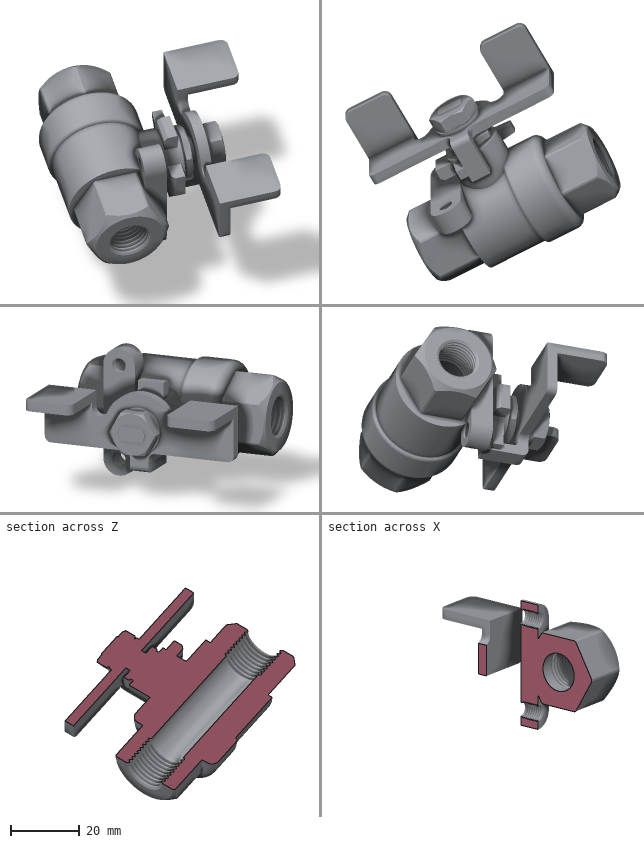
import cadquery as cq
import math


collar_diameter = 30.1
collar_left = -18.0
collar_right = -5.55
collar_left_round = 2.5
collar_right_round = 1.0
barrel_diameter = 28.05
barrel_right = 12.65

left_end = -31.75
right_end = 28.35
left_across_flats = 21.5
left_trim_diameter = 24.5
right_across_flats = 22.0
right_trim_diameter = 25.0
end_face_diameter = 20.65

bore_diameter = 11.5
bore_thread_diameter = 12.9
bore_thread_pitch = 1.35
bore_thread_turns = 8
thread_flat_share = 0.25

lug_x = 13.15
lug_spacing = 28.5
lug_width = 10.0
lug_back = 7.55
lug_front = 14.15
lug_hole_diameter = 4.2
lug_thread_diameter = 5.0
lug_thread_pitch = 0.8

hub_diameter = 17.0
hub_top = 22.6
neck_diameter = 12.9
neck_top = 23.5
packing_nut_across_flats = 14.1
packing_nut_top = 25.5
packing_nut_turn = -1.7
stem_diameter = 8.0
stem_top = 35.9
stem_tip_flats = 4.2
washer_diameter = 13.85
washer_top = 31.15
handle_nut_across_flats = 12.6
handle_nut_top = 35.6
handle_nut_turn = 1.4
nut_bevel_angle = 30

stop_bottom = 17.5
stop_top = 21.45
block_stop_width = 8.05
block_stop_reach = 12.55
block_stop_chamfer = 1.05
draft_stop_side = 2.95
draft_stop_root_width = 3.7
draft_stop_reach = 12.4
draft_stop_taper = 1.0

plate_bottom = 26.95
plate_thickness = 3.15
handle_half_length = 30.05
handle_round = 2.0
wing_width = 15.1
wing_top = 9.8
wing_bottom = -6.75
wing_tip = 46.0
wing_corner_round = 2.2
disc_radius = 11.05
notch_radius = 2.5
tab_width = 5.95
tab_end = 16.5
tab_upper = -10.0
tab_lower = -13.0

plate_top = plate_bottom + plate_thickness
wing_inner = handle_half_length - wing_width
bend_start = wing_bottom - handle_round
bend_inner_round = bend_start - tab_upper


def along_y(bottom):
    """Workplane at the given Y whose local axes are X and Z."""
    return cq.Workplane("XZ", origin=(0, bottom, 0))


def cylinder_y(diameter, bottom, top):
    return along_y(bottom).circle(diameter / 2).extrude(bottom - top)


def cylinder_x(diameter, left, right):
    return cq.Workplane("YZ", origin=(left, 0, 0)).circle(diameter / 2).extrude(right - left)


def corner_diameter(across_flats):
    return across_flats / math.cos(math.pi / 6)


def pipe_end(across_flats, trim_diameter, length, spin):
    """Hexagon growing along +X from the origin, trimmed at its corners and bevelled at its far end."""
    hexagon = (
        cq.Workplane("YZ")
        .polygon(6, corner_diameter(across_flats))
        .extrude(length)
        .rotate((0, 0, 0), (1, 0, 0), spin)
    )
    bevel = (trim_diameter - end_face_diameter) / 2
    envelope = cylinder_x(trim_diameter, 0, length).faces(">X").chamfer(bevel)
    return hexagon.intersect(envelope)


def thread_cutter(minor, major, pitch, turns):
    """Bore along +X from the origin with a ring groove of trapezoid section for each thread turn."""
    half_flat = pitch * thread_flat_share / 2
    points = [(0, 0), (0, major / 2)]
    for turn in range(turns):
        crest = (turn + 0.5) * pitch
        root = (turn + 1) * pitch
        points.append((crest - half_flat, minor / 2))
        points.append((crest + half_flat, minor / 2))
        points.append((root - half_flat, major / 2))
        points.append((root + half_flat, major / 2))
    thread_end = (turns + 0.5) * pitch - half_flat
    points.append((thread_end, minor / 2))
    points.append((thread_end, 0))
    return cq.Workplane("XY").polyline(points).close().revolve(360, (0, 0, 0), (1, 0, 0))


def hex_nut(across_flats, bottom, top, turn, bevel_bottom):
    """Hexagonal nut on the stem with its corners bevelled by a cone."""
    corners = corner_diameter(across_flats)
    hexagon = (
        along_y(bottom)
        .polygon(6, corners)
        .extrude(bottom - top)
        .rotate((0, 0, 0), (0, 1, 0), turn)
    )
    bevel_width = (corners - across_flats) / 2
    bevel_height = bevel_width * math.tan(math.radians(nut_bevel_angle))
    envelope = [(0, bottom)]
    if bevel_bottom:
        envelope.append((across_flats / 2, bottom))
        envelope.append((corners / 2, bottom + bevel_height))
    else:
        envelope.append((corners / 2, bottom))
    envelope.append((corners / 2, top - bevel_height))
    envelope.append((across_flats / 2, top))
    envelope.append((0, top))
    cone = cq.Workplane("XY").polyline(envelope).close().revolve(360, (0, 0, 0), (0, 1, 0))
    return hexagon.intersect(cone)


def pipe_body():
    collar = cylinder_x(collar_diameter, collar_left, collar_right)
    collar = collar.faces("<X").edges().fillet(collar_left_round)
    collar = collar.faces(">X").edges().fillet(collar_right_round)
    barrel = cylinder_x(barrel_diameter, collar_left + collar_left_round, barrel_right)
    left_hex = pipe_end(left_across_flats, left_trim_diameter, -left_end, 90).mirror("YZ")
    right_hex = pipe_end(right_across_flats, right_trim_diameter, right_end, 0)
    return collar.union(barrel).union(left_hex).union(right_hex)


def lug_plate():
    return (
        along_y(lug_back)
        .center(lug_x, 0)
        .slot2D(lug_spacing + lug_width, lug_width, 90)
        .extrude(lug_back - lug_front)
    )


def cut_bores(body):
    body = body.cut(cylinder_x(bore_diameter, left_end, right_end))
    thread = thread_cutter(bore_diameter, bore_thread_diameter, bore_thread_pitch, bore_thread_turns)
    body = body.cut(thread.translate((left_end, 0, 0)))
    body = body.cut(thread.mirror("YZ").translate((right_end, 0, 0)))

    lug_turns = math.floor((lug_front - lug_back) / lug_thread_pitch - 0.5)
    lug_thread = thread_cutter(lug_hole_diameter, lug_thread_diameter, lug_thread_pitch, lug_turns)
    lug_thread = lug_thread.rotate((0, 0, 0), (0, 0, 1), 90)
    for side in (-1, 1):
        hole_z = side * lug_spacing / 2
        through_hole = cylinder_y(lug_hole_diameter, lug_back, lug_front)
        body = body.cut(through_hole.translate((lug_x, 0, hole_z)))
        body = body.cut(lug_thread.translate((lug_x, lug_back, hole_z)))
    return body


def stem_stack():
    hub = cylinder_y(hub_diameter, bore_thread_diameter / 2, hub_top)
    neck = cylinder_y(neck_diameter, hub_top, neck_top)
    packing_nut = hex_nut(
        packing_nut_across_flats, neck_top, packing_nut_top, 90 + packing_nut_turn, False
    )
    stem = cylinder_y(stem_diameter, hub_top, handle_nut_top)
    tip_block = along_y(handle_nut_top).rect(stem_diameter, stem_tip_flats)
    tip = tip_block.extrude(handle_nut_top - stem_top)
    tip = tip.intersect(cylinder_y(stem_diameter, handle_nut_top, stem_top))
    washer = cylinder_y(washer_diameter, plate_top, washer_top)
    handle_nut = hex_nut(
        handle_nut_across_flats, washer_top, handle_nut_top, handle_nut_turn, True
    )
    stack = hub
    for piece in (neck, packing_nut, stem, tip, washer, handle_nut):
        stack = stack.union(piece)
    return stack


def block_stop():
    """Straight stop on the +Z side of the hub."""
    height = stop_top - stop_bottom
    return (
        cq.Workplane("XY")
        .box(block_stop_width, height, block_stop_reach, centered=(True, False, False))
        .translate((0, stop_bottom, 0))
        .edges(">Z and <Y")
        .chamfer(block_stop_chamfer)
    )


def draft_stop():
    """Stop on the -X side of the hub whose +Z and -Y faces taper towards its end."""
    root_top = draft_stop_side + draft_stop_root_width
    root_x = math.sqrt((hub_diameter / 2) ** 2 - root_top**2)

    def section(taper):
        low = stop_bottom + taper
        high = root_top - taper
        return [
            (low, draft_stop_side),
            (stop_top, draft_stop_side),
            (stop_top, high),
            (low, high),
        ]

    return (
        cq.Workplane("YZ", origin=(-root_x, 0, 0))
        .polyline(section(0))
        .close()
        .workplane(offset=root_x - draft_stop_reach)
        .polyline(section(draft_stop_taper))
        .close()
        .loft(ruled=True)
    )


def rotation_stops():
    top_block = block_stop()
    right_block = top_block.rotate((0, 0, 0), (0, 1, 0), 90)
    left_draft = draft_stop()
    lower_draft = left_draft.mirror("XY").rotate((0, 0, 0), (0, 1, 0), -90)
    return top_block.union(right_block).union(left_draft).union(lower_draft)


def handle_plate():
    """Flat part of the handle: a disc on the stem joined to a wing plate on each side."""
    notch_x = wing_inner - notch_radius
    notch_z = math.sqrt((disc_radius + notch_radius) ** 2 - notch_x**2)
    tangent_scale = disc_radius / (disc_radius + notch_radius)
    tangent_x = notch_x * tangent_scale
    tangent_z = notch_z * tangent_scale
    tab_x = tab_width / 2

    outline = (
        along_y(plate_bottom)
        .moveTo(-tangent_x, tangent_z)
        .threePointArc((0, disc_radius), (tangent_x, tangent_z))
        .tangentArcPoint((wing_inner, notch_z), relative=False)
        .lineTo(wing_inner, wing_top)
        .lineTo(handle_half_length, wing_top)
        .lineTo(handle_half_length, wing_bottom + handle_round)
        .radiusArc((handle_half_length - handle_round, wing_bottom), handle_round)
        .lineTo(tab_x + handle_round, wing_bottom)
        .radiusArc((tab_x, bend_start), -handle_round)
        .lineTo(-tab_x, bend_start)
        .radiusArc((-tab_x - handle_round, wing_bottom), -handle_round)
        .lineTo(-handle_half_length + handle_round, wing_bottom)
        .radiusArc((-handle_half_length, wing_bottom + handle_round), handle_round)
        .lineTo(-handle_half_length, wing_top)
        .lineTo(-wing_inner, wing_top)
        .lineTo(-wing_inner, notch_z)
        .tangentArcPoint((-tangent_x, tangent_z), relative=False)
        .close()
    )
    return outline.extrude(-plate_thickness)


def handle_wing():
    """Finger wing on the +X side, square to the handle plate."""
    return (
        cq.Workplane("XY", origin=(wing_inner, plate_bottom, wing_top - plate_thickness))
        .rect(wing_width, wing_tip - plate_bottom, centered=False)
        .extrude(plate_thickness)
        .edges("|Z and >Y")
        .fillet(wing_corner_round)
    )


def handle_tab():
    """Stop tab bent down from the lower edge of the handle plate."""
    profile = (
        cq.Workplane("YZ", origin=(-tab_width / 2, 0, 0))
        .moveTo(plate_bottom, bend_start)
        .lineTo(plate_top, bend_start)
        .lineTo(plate_top, tab_lower + handle_round)
        .radiusArc((plate_top - handle_round, tab_lower), handle_round)
        .lineTo(tab_end, tab_lower)
        .lineTo(tab_end, tab_upper)
        .lineTo(plate_bottom - bend_inner_round, tab_upper)
        .radiusArc((plate_bottom, bend_start), -bend_inner_round)
        .close()
    )
    return profile.extrude(tab_width)


def handle():
    wing = handle_wing()
    return handle_plate().union(wing).union(wing.mirror("YZ")).union(handle_tab())


valve = pipe_body().union(lug_plate())
valve = valve.union(stem_stack()).union(rotation_stops()).union(handle())
result = cut_bores(valve)